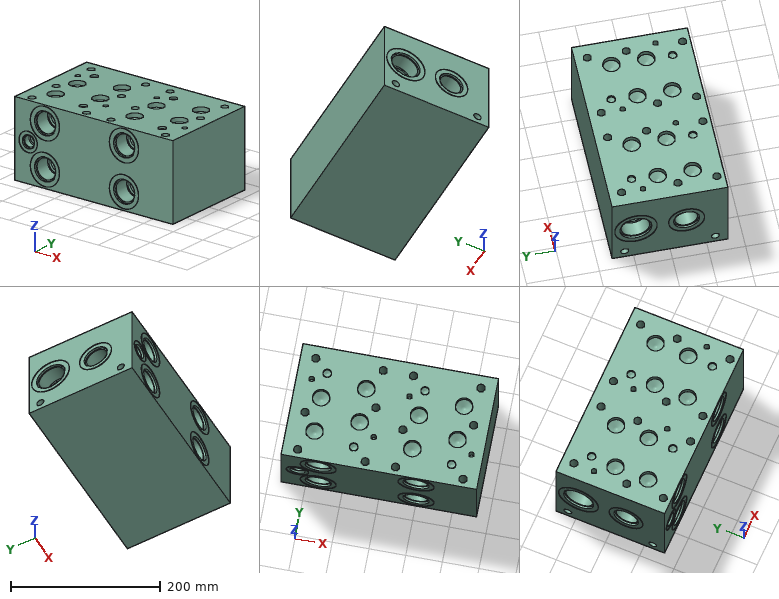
import cadquery as cq
import math

LENGTH = 266.7
WIDTH = 158.7
HEIGHT = 120.5

DRILL_POINT_ANGLE = 118.0

STATION_COUNT = 2
STATION_PITCH = 133.4

STATION_X = 20.8
STATION_Y = 11.0

MOUNT_SPAN_X = 92.0
MOUNT_SPAN_Y = 130.5
MOUNT_INNER_STEP = 53.3
MOUNT_DIAMETER = 10.7
MOUNT_DEPTH = 32.0
MOUNT_PLACES = [
    (0, 0),
    (0, MOUNT_INNER_STEP),
    (0, MOUNT_SPAN_Y),
    (MOUNT_SPAN_X, 0),
    (MOUNT_SPAN_X, MOUNT_SPAN_Y - MOUNT_INNER_STEP),
    (MOUNT_SPAN_X, MOUNT_SPAN_Y),
]

FLOW_DIAMETER = 23.2
FLOW_DEPTH = 6.7
FLOW_X = 17.3
FLOW_Y = 29.5
FLOW_SPACING = 47.7
FLOW_ROW_GAP = 57.0
FLOW_ROW_SHIFT = 23.7
FLOW_PLACES = [
    (FLOW_X, FLOW_Y),
    (FLOW_X, FLOW_Y + FLOW_SPACING),
    (FLOW_X + FLOW_ROW_GAP, FLOW_Y + FLOW_ROW_SHIFT),
    (FLOW_X + FLOW_ROW_GAP, FLOW_Y + FLOW_ROW_SHIFT + FLOW_SPACING),
]

PILOT_DIAMETER = 11.2
PILOT_DEPTH = 3.2
PILOT_PLACES = [(19.0, 112.8), (73.0, 17.5)]

PIN_DIAMETER = 7.2
PIN_DEPTH = 13.3
PIN_PLACES = [(0, 101.0), (96.8, 36.0)]

SPOTFACE_DEPTH = 0.8
SEAL_DEPTH = 3.7
FRONT_PORT = [(49.0, SPOTFACE_DEPTH), (35.5, SEAL_DEPTH), (31.2, 26.7), (28.5, 32.0)]
GAUGE_PORT = [(30.7, SPOTFACE_DEPTH), (20.3, SEAL_DEPTH), (16.8, 13.3), (13.5, 18.7)]
LARGE_END_PORT = [(58.0, SPOTFACE_DEPTH), (43.5, SEAL_DEPTH), (39.2, 24.0), (35.7, 37.3)]
SMALL_END_PORT = [(49.0, SPOTFACE_DEPTH), (35.5, SEAL_DEPTH), (31.2, 26.7), (27.0, 32.0)]

PORT_MID_Z = 60.3
FRONT_PORT_X = 50.7
FRONT_PORT_LOW_Z = 27.2
FRONT_PORT_RISE = 66.5
GAUGE_PORT_X = 22.5
LARGE_END_PORT_Y = 126.0
SMALL_END_PORT_Y = 56.5

END_HOLE_DIAMETER = 10.7
END_HOLE_DEPTH = 21.3
END_HOLE_INSET = 17.3
END_HOLE_Z = 12.5

INTO_TOP = cq.Vector(0, 0, -1)
INTO_FRONT = cq.Vector(0, 1, 0)
INTO_END = cq.Vector(1, 0, 0)


def drilled_hole(point, direction, diameter, depth):
    """Cylinder of the given depth that ends in a conical drill point."""
    radius = diameter / 2
    point_length = radius / math.tan(math.radians(DRILL_POINT_ANGLE / 2))
    start = cq.Vector(*point)
    cylinder = cq.Solid.makeCylinder(radius, depth, start, direction)
    tip = cq.Solid.makeCone(radius, 0, point_length, start + direction * depth, direction)
    return cylinder.fuse(tip)


def port(point, direction, stages):
    """Flat spotface and counterbore, then a thread bore and a core bore with drill points."""
    spotface, counterbore, thread, bore = stages
    tool = drilled_hole(point, direction, *bore).fuse(drilled_hole(point, direction, *thread))
    for diameter, depth in (spotface, counterbore):
        tool = tool.fuse(cq.Solid.makeCylinder(diameter / 2, depth, cq.Vector(*point), direction))
    return tool


def station_cutters(offset_x):
    """All holes of one valve station on the top face."""
    groups = [
        (MOUNT_PLACES, MOUNT_DIAMETER, MOUNT_DEPTH),
        (FLOW_PLACES, FLOW_DIAMETER, FLOW_DEPTH),
        (PILOT_PLACES, PILOT_DIAMETER, PILOT_DEPTH),
        (PIN_PLACES, PIN_DIAMETER, PIN_DEPTH),
    ]
    return [
        drilled_hole((STATION_X + offset_x + x, STATION_Y + y, HEIGHT), INTO_TOP, diameter, depth)
        for places, diameter, depth in groups
        for x, y in places
    ]


def front_cutters():
    """One column of two ports per station, plus the gauge port."""
    cutters = [port((GAUGE_PORT_X, 0, PORT_MID_Z), INTO_FRONT, GAUGE_PORT)]
    for station in range(STATION_COUNT):
        x = FRONT_PORT_X + station * STATION_PITCH
        for z in (FRONT_PORT_LOW_Z, FRONT_PORT_LOW_Z + FRONT_PORT_RISE):
            cutters.append(port((x, 0, z), INTO_FRONT, FRONT_PORT))
    return cutters


def end_cutters():
    """Two ports and two tapped holes on the X = 0 face."""
    cutters = [
        port((0, LARGE_END_PORT_Y, PORT_MID_Z), INTO_END, LARGE_END_PORT),
        port((0, SMALL_END_PORT_Y, PORT_MID_Z), INTO_END, SMALL_END_PORT),
    ]
    for y in (END_HOLE_INSET, WIDTH - END_HOLE_INSET):
        cutters.append(drilled_hole((0, y, END_HOLE_Z), INTO_END, END_HOLE_DIAMETER, END_HOLE_DEPTH))
    return cutters


cutters = front_cutters() + end_cutters()
for station in range(STATION_COUNT):
    cutters += station_cutters(station * STATION_PITCH)

block = cq.Workplane("XY").box(LENGTH, WIDTH, HEIGHT, centered=False)
result = cq.Workplane("XY").newObject([block.val().cut(*cutters)])